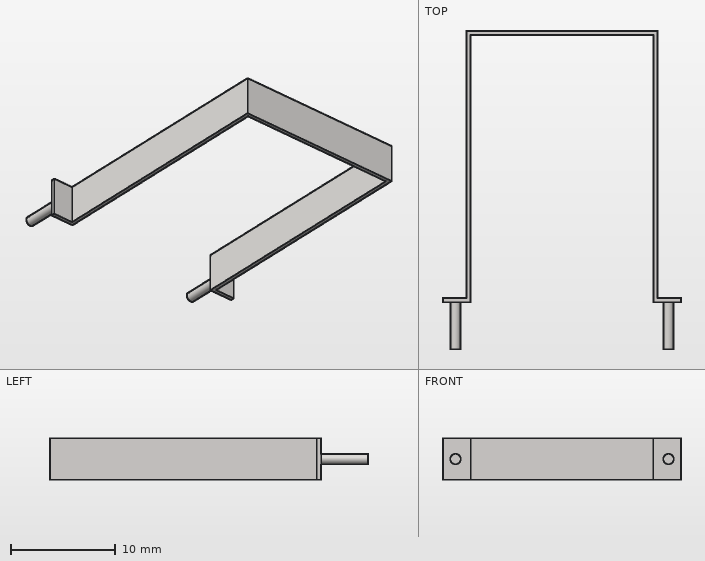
import cadquery as cq

strip_thickness = 0.41
strip_width = 4.0
inner_width = 17.5
overall_width = 22.82
strap_depth = 26.0
pin_diameter = 1.0
pin_length = 4.5
pin_spacing = 20.4

inner_x = inner_width / 2
outer_x = inner_x + strip_thickness
foot_end_x = overall_width / 2
bridge_inner_y = strap_depth - strip_thickness


def make_strap():
    """Hat-shaped bent strip: bridge, two legs and two outward feet."""
    right_half = [
        (inner_x, bridge_inner_y),
        (inner_x, 0),
        (foot_end_x, 0),
        (foot_end_x, strip_thickness),
        (outer_x, strip_thickness),
        (outer_x, strap_depth),
    ]
    left_half = [(-x, y) for x, y in reversed(right_half)]
    return (
        cq.Workplane("XY")
        .polyline(right_half + left_half)
        .close()
        .extrude(strip_width / 2, both=True)
    )


def make_pins():
    """Round pins projecting forward (-Y) from the feet."""
    return (
        cq.Workplane("XZ")
        .pushPoints([(side * pin_spacing / 2, 0) for side in (-1, 1)])
        .circle(pin_diameter / 2)
        .extrude(pin_length)
    )


result = make_strap().union(make_pins())